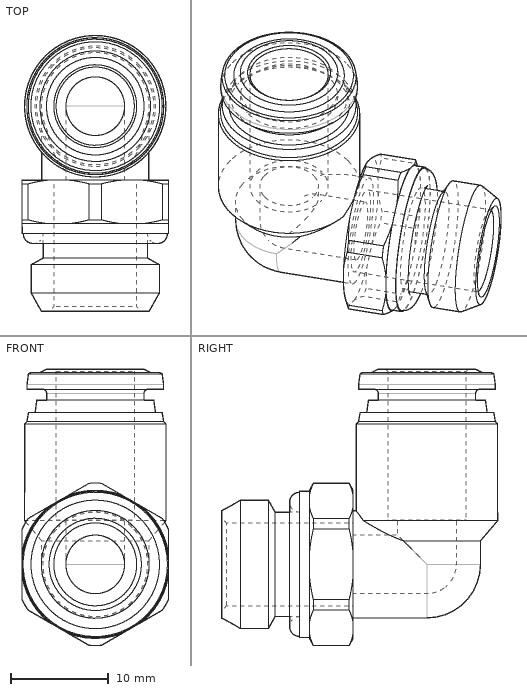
import cadquery as cq
import math


ELBOW_RADIUS = 5.5
BORE_RADIUS = 3.0

SOCKET_TOP = 19.98
SOCKET_RADIUS = 7.25
SOCKET_CONE_BOTTOM = 2.4
SOCKET_BODY_BOTTOM = 4.47
SOCKET_BODY_TOP = 14.38
SHOULDER_RADIUS = 6.85
SHOULDER_FLARE = 0.17
SHOULDER_BEVEL = 0.23
SHOULDER_TOP = 15.56
COLLAR_RADIUS = 6.0
COLLAR_FLARE = 0.17
COLLAR_TOP = 16.8

BUTTON_NECK_RADIUS = 10.0 / 2
BUTTON_RADIUS = 14.0 / 2
BUTTON_BOTTOM = 17.9
BUTTON_BAND_HEIGHT = 0.5
BUTTON_TAPER = 0.15
BUTTON_FILLET = 0.42
BUTTON_EDGE_RADIUS = 6.6
BUTTON_EDGE_HEIGHT = 0.15
RIM_HEIGHT = 0.35
RIM_BASE_RADIUS = 5.65
TUBE_RADIUS = 8.0 / 2
TUBE_MOUTH_RADIUS = 4.25
TUBE_MOUTH_BEVEL = 0.23
TUBE_STOP = 4.53

HEX_START = 7.55
HEX_END = 12.03
HEX_ACROSS_FLATS = 15.0
HEX_CORNER_RADIUS = 8.32
HEX_BEVEL_LENGTH = 0.4
HEX_BEVEL_DEPTH = 0.74

RING_COLLAR_RADIUS = 7.5
THREAD_NECK_RADIUS = 10.7 / 2
RING_CENTRE = 13.05
RING_SECTION_RADIUS = 1.02
RING_MIDDLE_RADIUS = THREAD_NECK_RADIUS + RING_SECTION_RADIUS
THREAD_NECK_END = 15.55
THREAD_RADIUS = 13.15 / 2
THREAD_START = 16.22
THREAD_BEVEL_START = 19.1
THREAD_TIP_RADIUS = 5.52
THREAD_END = 21.0
OUTLET_RADIUS = 4.25
OUTLET_MOUTH_RADIUS = 4.73
OUTLET_MOUTH_BEVEL = 0.48
OUTLET_STOP = HEX_START


def turned(outline):
    """Revolve (radius, distance) points, closed along the axis, about +Z."""
    closed_outline = [(0, outline[0][1])] + outline + [(0, outline[-1][1])]
    profile = cq.Workplane("XZ").polyline(closed_outline).close()
    return profile.revolve(360, (0, 0, 0), (0, 1, 0))


def towards_front(body):
    """Swing a body built along +Z so that it runs along -Y."""
    return body.rotate((0, 0, 0), (1, 0, 0), 90)


def round_elbow(radius, up, out):
    """Two equal cylinders that meet at a ball centred on the origin."""
    upright = cq.Workplane("XY").circle(radius).extrude(up)
    level = towards_front(cq.Workplane("XY").circle(radius).extrude(out))
    return upright.union(level).union(cq.Workplane("XY").sphere(radius))


def socket():
    return turned([
        (ELBOW_RADIUS, SOCKET_CONE_BOTTOM),
        (SOCKET_RADIUS, SOCKET_BODY_BOTTOM),
        (SOCKET_RADIUS, SOCKET_BODY_TOP),
        (SHOULDER_RADIUS + SHOULDER_FLARE, SOCKET_BODY_TOP + SHOULDER_BEVEL),
        (SHOULDER_RADIUS, SHOULDER_TOP),
        (COLLAR_RADIUS + COLLAR_FLARE, SHOULDER_TOP),
        (COLLAR_RADIUS, COLLAR_TOP),
    ])


def release_button():
    """Flanged button on a neck, with a fillet under the flange."""
    flange_top = SOCKET_TOP - RIM_HEIGHT
    profile = (
        cq.Workplane("XZ")
        .moveTo(0, COLLAR_TOP)
        .lineTo(BUTTON_NECK_RADIUS, COLLAR_TOP)
        .lineTo(BUTTON_NECK_RADIUS, BUTTON_BOTTOM - BUTTON_FILLET)
        .tangentArcPoint((BUTTON_NECK_RADIUS + BUTTON_FILLET, BUTTON_BOTTOM), relative=False)
        .lineTo(BUTTON_RADIUS, BUTTON_BOTTOM)
        .lineTo(BUTTON_RADIUS, BUTTON_BOTTOM + BUTTON_BAND_HEIGHT)
        .lineTo(BUTTON_RADIUS - BUTTON_TAPER, flange_top - BUTTON_EDGE_HEIGHT)
        .lineTo(BUTTON_EDGE_RADIUS, flange_top)
        .lineTo(RIM_BASE_RADIUS, flange_top)
        .lineTo(BUTTON_NECK_RADIUS, SOCKET_TOP)
        .lineTo(0, SOCKET_TOP)
        .close()
    )
    return profile.revolve(360, (0, 0, 0), (0, 1, 0))


def hexagon():
    """Hexagon with corners up and down, rounded and bevelled at both ends."""
    corner_diameter = HEX_ACROSS_FLATS / math.cos(math.radians(30))
    prism = (
        cq.Workplane("XY", origin=(0, 0, HEX_START))
        .polygon(6, corner_diameter)
        .extrude(HEX_END - HEX_START)
        .rotate((0, 0, 0), (0, 0, 1), 90)
    )
    envelope = turned([
        (HEX_CORNER_RADIUS - HEX_BEVEL_DEPTH, HEX_START),
        (HEX_CORNER_RADIUS, HEX_START + HEX_BEVEL_LENGTH),
        (HEX_CORNER_RADIUS, HEX_END - HEX_BEVEL_LENGTH),
        (HEX_CORNER_RADIUS - HEX_BEVEL_DEPTH, HEX_END),
    ])
    return towards_front(prism.intersect(envelope))


def sealing_ring():
    """Flat collar against the hexagon with a round O-ring half sunk into it."""
    collar = (
        cq.Workplane("XY", origin=(0, 0, HEX_END))
        .circle(RING_COLLAR_RADIUS)
        .extrude(RING_CENTRE - HEX_END)
    )
    o_ring = (
        cq.Workplane("XZ")
        .center(RING_MIDDLE_RADIUS, RING_CENTRE)
        .circle(RING_SECTION_RADIUS)
        .revolve(360, (-RING_MIDDLE_RADIUS, 0, 0), (-RING_MIDDLE_RADIUS, 1, 0))
    )
    return towards_front(collar.union(o_ring))


def threaded_end():
    return towards_front(turned([
        (THREAD_NECK_RADIUS, HEX_END),
        (THREAD_NECK_RADIUS, THREAD_NECK_END),
        (THREAD_RADIUS, THREAD_START),
        (THREAD_RADIUS, THREAD_BEVEL_START),
        (THREAD_TIP_RADIUS, THREAD_END),
    ]))


def tube_hole():
    return turned([
        (TUBE_RADIUS, TUBE_STOP),
        (TUBE_RADIUS, SOCKET_TOP - TUBE_MOUTH_BEVEL),
        (TUBE_MOUTH_RADIUS, SOCKET_TOP),
    ])


def outlet_hole():
    return towards_front(turned([
        (OUTLET_RADIUS, OUTLET_STOP),
        (OUTLET_RADIUS, THREAD_END - OUTLET_MOUTH_BEVEL),
        (OUTLET_MOUTH_RADIUS, THREAD_END),
    ]))


outside = round_elbow(ELBOW_RADIUS, SOCKET_BODY_BOTTOM, HEX_START)
for piece in (socket(), release_button(), hexagon(), sealing_ring(), threaded_end()):
    outside = outside.union(piece)

passage = round_elbow(BORE_RADIUS, TUBE_STOP, OUTLET_STOP)
result = outside.cut(passage).cut(tube_hole()).cut(outlet_hole())